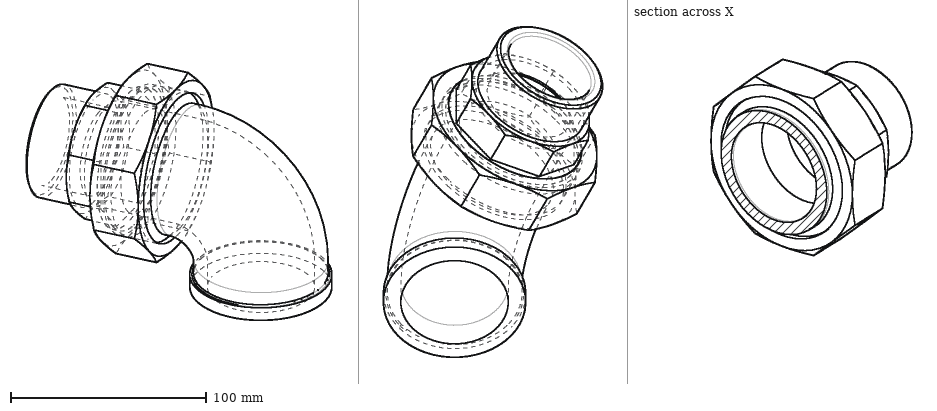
import cadquery as cq
import math

total_length = 155.9
wrench_start = 25.0
nut_start = 44.3
nut_length = 27.3
nut_end = nut_start + nut_length
nut_lip = 4.0
tail_flange = 4.7
joint_x = nut_start + nut_lip + tail_flange
bore_step = 28.0

male_dia = 59.5
male_tip_dia = 56.6
inlet_bore_dia = 46.5
elbow_bore_dia = 55.0
tube_dia = 69.0
collar_dia = 74.7
nut_mouth_dia = 75.0
thread_dia = 79.0
rim_dia = 73.0

wrench_flats = 66.1
nut_flats = 92.0
corner_bevel_angle = 30.0

tip_bevel_length = 1.2
bore_round = 1.4
rim_fillet = 0.8

outlet_x = total_length - rim_dia / 2
bend_radius = 42.7
bend_start = outlet_x - bend_radius
shoulder_end = 73.3
outlet_bottom = -58.0
rim_height = 7.3


def revolve_about_x(profile):
    """Turn a closed (x, radius) profile about the inlet axis."""
    return profile.close().revolve(360, (0, 0, 0), (1, 0, 0))


def rod(x_start, x_end, diameter):
    """Cylinder on the inlet axis."""
    return cq.Workplane("YZ", origin=(x_start, 0, 0)).circle(diameter / 2).extrude(x_end - x_start)


def octagon(x_start, x_end, flats, bevel_back):
    """Octagonal prism with conically bevelled corners at the front and optionally the back."""
    flat_radius = flats / 2
    corner_radius = flat_radius / math.cos(math.pi / 8)
    bevel = (corner_radius - flat_radius) * math.tan(math.radians(corner_bevel_angle))
    prism = (
        cq.Workplane("YZ", origin=(x_start, 0, 0))
        .transformed(rotate=(0, 0, 22.5))
        .polygon(8, 2 * corner_radius)
        .extrude(x_end - x_start)
    )
    envelope = (
        cq.Workplane("XY")
        .moveTo(x_start, 0)
        .lineTo(x_start, flat_radius)
        .lineTo(x_start + bevel, corner_radius)
    )
    if bevel_back:
        envelope = envelope.lineTo(x_end - bevel, corner_radius).lineTo(x_end, flat_radius)
    else:
        envelope = envelope.lineTo(x_end, corner_radius)
    return prism.intersect(revolve_about_x(envelope.lineTo(x_end, 0)))


def tailpiece_bore():
    """Rounded mouth, straight bore, then a 45 degree widening to the elbow bore."""
    inlet_radius = inlet_bore_dia / 2
    outer_radius = elbow_bore_dia / 2
    round_mid = bore_round * (1 - math.sqrt(0.5))
    profile = (
        cq.Workplane("XY")
        .lineTo(0, inlet_radius + bore_round)
        .threePointArc((round_mid, inlet_radius + round_mid), (bore_round, inlet_radius))
        .lineTo(bore_step, inlet_radius)
        .lineTo(bore_step + outer_radius - inlet_radius, outer_radius)
        .lineTo(joint_x, outer_radius)
        .lineTo(joint_x, 0)
    )
    return revolve_about_x(profile)


def make_tailpiece():
    """Male end with wrench flats and the flange that the nut pulls against the elbow."""
    male_end = revolve_about_x(
        cq.Workplane("XY")
        .lineTo(0, male_tip_dia / 2)
        .lineTo(tip_bevel_length, male_dia / 2)
        .lineTo(wrench_start, male_dia / 2)
        .lineTo(wrench_start, 0)
    )
    wrench = octagon(wrench_start, nut_start, wrench_flats, bevel_back=False)
    collar = rod(nut_start, joint_x, collar_dia)
    flange = rod(nut_start + nut_lip, joint_x, thread_dia)
    return male_end.union(wrench).union(collar).union(flange).cut(tailpiece_bore())


def make_nut():
    """Octagonal union nut with a retaining lip at the front."""
    mouth = rod(nut_start, nut_end, nut_mouth_dia)
    thread = rod(nut_start + nut_lip, nut_end, thread_dia)
    return octagon(nut_start, nut_end, nut_flats, bevel_back=True).cut(mouth).cut(thread)


def elbow_run(diameter):
    """Solid run of one diameter from the joint, around the bend, to the outlet face."""
    path = (
        cq.Workplane("XZ")
        .moveTo(joint_x, 0)
        .lineTo(bend_start, 0)
        .radiusArc((outlet_x, -bend_radius), bend_radius)
        .lineTo(outlet_x, outlet_bottom)
    )
    return cq.Workplane("YZ", origin=(joint_x, 0, 0)).circle(diameter / 2).sweep(path)


def make_elbow():
    """Quarter-turn elbow with a threaded shoulder and a rimmed outlet."""
    tube_radius = tube_dia / 2
    thread_radius = thread_dia / 2
    shoulder = revolve_about_x(
        cq.Workplane("XY")
        .moveTo(joint_x, 0)
        .lineTo(joint_x, thread_radius)
        .lineTo(shoulder_end - (thread_radius - tube_radius), thread_radius)
        .lineTo(shoulder_end, tube_radius)
        .lineTo(bend_start, tube_radius)
        .lineTo(bend_start, 0)
    )
    rim_top = outlet_bottom + rim_height
    fillet_mid = rim_fillet * (1 - math.sqrt(0.5))
    rim = (
        cq.Workplane("XZ", origin=(outlet_x, 0, 0))
        .moveTo(0, outlet_bottom)
        .lineTo(rim_dia / 2, outlet_bottom)
        .lineTo(rim_dia / 2, rim_top)
        .lineTo(tube_radius + rim_fillet, rim_top)
        .threePointArc(
            (tube_radius + fillet_mid, rim_top + fillet_mid),
            (tube_radius, rim_top + rim_fillet),
        )
        .lineTo(0, rim_top + rim_fillet)
        .close()
        .revolve(360, (0, 0, 0), (0, 1, 0))
    )
    return elbow_run(tube_dia).union(shoulder).union(rim).cut(elbow_run(elbow_bore_dia))


tailpiece = make_tailpiece()
nut = make_nut()
elbow = make_elbow()

result = cq.Compound.makeCompound([tailpiece.val(), nut.val(), elbow.val()])